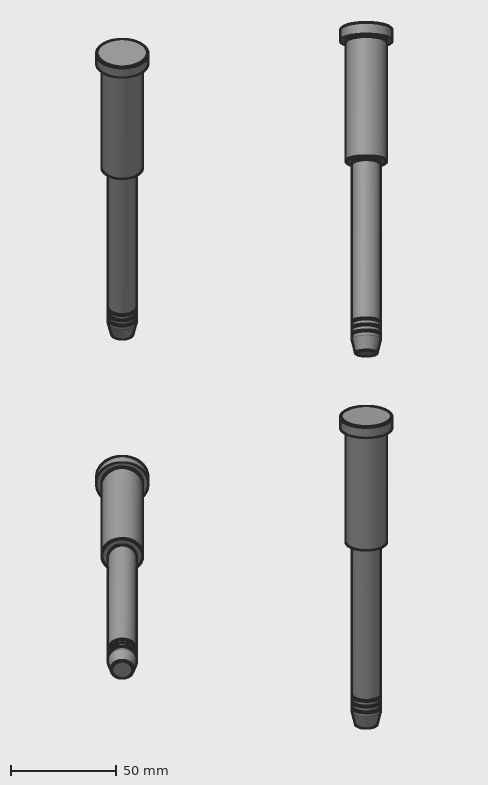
import cadquery as cq

total_length = 161.0
head_diameter = 25.0
head_height = 6.0
head_chamfer = 0.6
shank_diameter = 20.0
shank_end_depth = 66.0
shank_chamfer = 0.5
pin_diameter = 14.0

head_relief_depth = 0.5
shank_relief_depth = 0.3
head_relief_height = 1.0
shank_relief_height = 1.0

groove_count = 3
groove_width = 1.0
groove_depth = 0.3
groove_pitch = 3.0
lowest_groove_z = 9.0

taper_height = 7.2
tip_diameter = 10.6
tip_chamfer = 0.5

head_bottom_z = total_length - head_height
shank_bottom_z = total_length - shank_end_depth
pin_top_z = shank_bottom_z - shank_relief_height


def cylinder(diameter, bottom_z, top_z):
    """Solid cylinder on the Z axis."""
    return cq.Workplane("XY").workplane(offset=bottom_z).circle(diameter / 2).extrude(top_z - bottom_z)


def ring_groove(diameter, depth, bottom_z, width):
    """V-shaped ring to cut from a cylinder of the given diameter."""
    radius = diameter / 2
    return (
        cq.Workplane("XZ")
        .moveTo(radius, bottom_z)
        .lineTo(radius - depth, bottom_z + width / 2)
        .lineTo(radius, bottom_z + width)
        .close()
        .revolve(360, (0, 0, 0), (0, 1, 0))
    )


head = cylinder(head_diameter, head_bottom_z, total_length).faces(">Z").chamfer(head_chamfer)

shank = cylinder(shank_diameter, shank_bottom_z, head_bottom_z).faces("<Z").chamfer(shank_chamfer)
shank = shank.cut(
    ring_groove(shank_diameter, head_relief_depth, head_bottom_z - head_relief_height, head_relief_height)
)

pin = cylinder(pin_diameter, taper_height, pin_top_z)
pin = pin.union(cylinder(pin_diameter - 2 * shank_relief_depth, pin_top_z, shank_bottom_z))
for index in range(groove_count):
    groove_z = lowest_groove_z + index * groove_pitch
    pin = pin.cut(ring_groove(pin_diameter, groove_depth, groove_z, groove_width))

tip = (
    cq.Workplane("XY")
    .circle(tip_diameter / 2)
    .workplane(offset=taper_height)
    .circle(pin_diameter / 2)
    .loft(ruled=True)
    .faces("<Z")
    .chamfer(tip_chamfer)
)

result = head.union(shank).union(pin).union(tip)